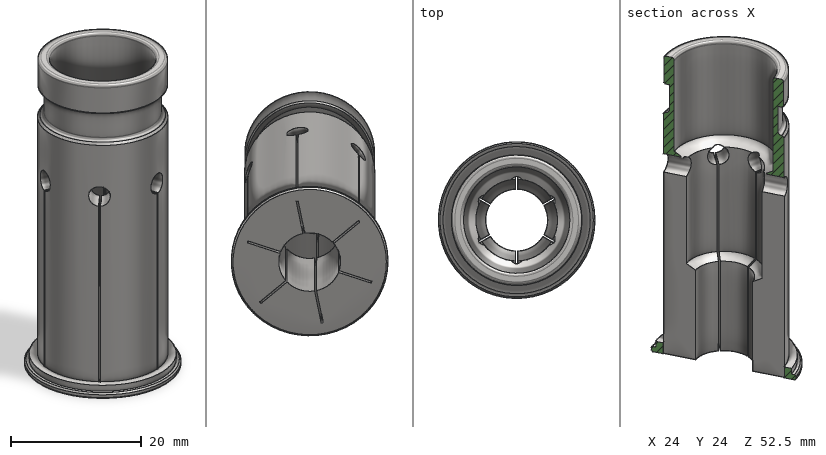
import cadquery as cq
import math

total_height = 52.5
rim_height = 1.0
flange_top = 2.0
body_top = 42.65
collar_bottom = 47.5

rim_diameter = 24.0
flange_diameter = 22.5
body_diameter = 20.0
neck_diameter = 18.0
collar_diameter = 19.9

neck_fillet = 0.5
collar_top_fillet = 0.45
mouth_fillet = 0.45
body_chamfer = 0.35
collar_bottom_chamfer = 0.25
rim_chamfer = 0.25

socket_diameter = 16.3
relief_diameter = 12.5
grip_diameter = 9.45
seat_angle = 120.0
relief_top = 34.95
grip_top = 15.75

slit_count = 6
slit_width = 0.3
first_slit_angle = 30.0
slit_hole_diameter = 3.3
slit_hole_height = 33.55


def seat_height(upper_diameter, lower_diameter):
    """Height of the conical seat between two bore diameters."""
    return (upper_diameter - lower_diameter) / 2 / math.tan(math.radians(seat_angle / 2))


def make_outside():
    """Turned outside of the sleeve, still solid."""
    rim = cq.Workplane("XY").circle(rim_diameter / 2).extrude(rim_height)
    rim = rim.edges().chamfer(rim_chamfer)

    flange = cq.Workplane("XY").circle(flange_diameter / 2).extrude(flange_top)

    body = cq.Workplane("XY").circle(body_diameter / 2).extrude(body_top)
    body = body.faces(">Z").edges().chamfer(body_chamfer)

    neck_radius = neck_diameter / 2
    arc_inset = neck_fillet * (1 - math.sqrt(0.5))
    neck = (
        cq.Workplane("XZ")
        .moveTo(0, body_top)
        .lineTo(neck_radius + neck_fillet, body_top)
        .threePointArc(
            (neck_radius + arc_inset, body_top + arc_inset),
            (neck_radius, body_top + neck_fillet),
        )
        .lineTo(neck_radius, collar_bottom)
        .lineTo(0, collar_bottom)
        .close()
        .revolve(360, (0, 0), (0, 1))
    )

    collar = (
        cq.Workplane("XY", origin=(0, 0, collar_bottom))
        .circle(collar_diameter / 2)
        .extrude(total_height - collar_bottom)
    )
    collar = collar.faces(">Z").edges().fillet(collar_top_fillet)
    collar = collar.faces("<Z").edges().chamfer(collar_bottom_chamfer)

    return rim.union(flange).union(body).union(neck).union(collar)


def make_bore():
    """Stepped through bore with a conical seat below each wider part and a rounded mouth."""
    socket_radius = socket_diameter / 2
    relief_radius = relief_diameter / 2
    grip_radius = grip_diameter / 2
    arc_inset = mouth_fillet * (1 - math.sqrt(0.5))
    return (
        cq.Workplane("XZ")
        .lineTo(grip_radius, 0)
        .lineTo(grip_radius, grip_top)
        .lineTo(relief_radius, grip_top + seat_height(relief_diameter, grip_diameter))
        .lineTo(relief_radius, relief_top)
        .lineTo(socket_radius, relief_top + seat_height(socket_diameter, relief_diameter))
        .lineTo(socket_radius, total_height - mouth_fillet)
        .threePointArc(
            (socket_radius + arc_inset, total_height - arc_inset),
            (socket_radius + mouth_fillet, total_height),
        )
        .lineTo(0, total_height)
        .close()
        .revolve(360, (0, 0), (0, 1))
    )


def make_slit(angle):
    """One slit through the body wall with its end hole, at the given angle about Z."""
    body_radius = body_diameter / 2
    slit = cq.Workplane("XY").box(
        body_radius, slit_width, slit_hole_height, centered=(False, True, False)
    )
    end_hole = (
        cq.Workplane("YZ")
        .center(0, slit_hole_height)
        .circle(slit_hole_diameter / 2)
        .extrude(body_radius)
    )
    return slit.union(end_hole).rotate((0, 0, 0), (0, 0, 1), angle)


result = make_outside().cut(make_bore())
for index in range(slit_count):
    result = result.cut(make_slit(first_slit_angle + index * 360 / slit_count))